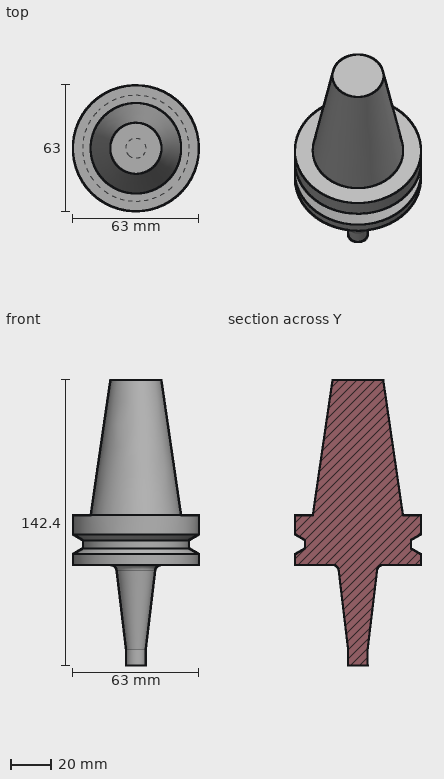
import cadquery as cq
import math

total_length = 142.4

shank_length = 67.4
shank_large_radius = 45.1 / 2
shank_small_radius = 25.5 / 2

flange_radius = 63.0 / 2
groove_radius = 53.0 / 2
upper_rim_height = 9.7
lower_rim_height = 5.5
groove_floor_width = 4.0
groove_wall_angle = 30.0

tip_radius = 10.0 / 2
tip_length = 8.1
nose_root_radius = 19.4 / 2
root_fillet_height = 2.5

flange_top = total_length - shank_length
groove_wall_height = (flange_radius - groove_radius) * math.tan(math.radians(groove_wall_angle))
groove_top = flange_top - upper_rim_height
groove_floor_top = groove_top - groove_wall_height
groove_floor_bottom = groove_floor_top - groove_floor_width
groove_bottom = groove_floor_bottom - groove_wall_height
flange_bottom = groove_bottom - lower_rim_height

fillet_bottom = flange_bottom - root_fillet_height
nose_slope = math.atan2(nose_root_radius - tip_radius, fillet_bottom - tip_length)
arc_radius = root_fillet_height / (1 - math.sin(nose_slope))
arc_center_x = nose_root_radius + arc_radius * math.cos(nose_slope)
arc_center_z = flange_bottom - arc_radius
mid_angle = (math.pi / 2 + math.pi - nose_slope) / 2
fillet_middle = (
    arc_center_x + arc_radius * math.cos(mid_angle),
    arc_center_z + arc_radius * math.sin(mid_angle),
)

profile = (
    cq.Workplane("XZ")
    .moveTo(0, 0)
    .lineTo(tip_radius, 0)
    .lineTo(tip_radius, tip_length)
    .lineTo(nose_root_radius, fillet_bottom)
    .threePointArc(fillet_middle, (arc_center_x, flange_bottom))
    .lineTo(flange_radius, flange_bottom)
    .lineTo(flange_radius, groove_bottom)
    .lineTo(groove_radius, groove_floor_bottom)
    .lineTo(groove_radius, groove_floor_top)
    .lineTo(flange_radius, groove_top)
    .lineTo(flange_radius, flange_top)
    .lineTo(shank_large_radius, flange_top)
    .lineTo(shank_small_radius, total_length)
    .lineTo(0, total_length)
    .close()
)

result = profile.revolve(360, (0, 0, 0), (0, 1, 0))